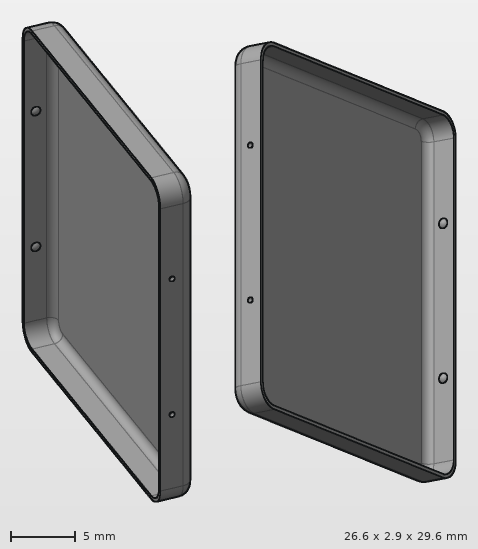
import cadquery as cq
import math

width = 26.6
depth = 2.9
height = 29.6

wall = 0.3
corner_radius = 1.8
rim_radius = 1.0

dimple_spacing = 12.5
dimple_from_opening = 1.0
recess_radius = 0.22
bump_radius = 0.5

open_y = -depth / 2
closed_y = depth / 2


def rounded_block(inset):
    """Block with rounded corners and a rounded closed-side edge, inset from the outer skin."""
    block = (
        cq.Workplane("XZ", origin=(0, closed_y - inset, 0))
        .rect(width - 2 * inset, height - 2 * inset)
        .extrude(depth - inset)
    )
    block = block.edges("|Y").fillet(corner_radius - inset)
    return block.faces(">Y").edges().fillet(rim_radius - inset)


def half_ball(side, z, radius):
    """Half ball with its flat face on the outer side wall and its dome pointing into the tray."""
    diagonal = radius * math.sqrt(0.5)
    return (
        cq.Workplane("XY", origin=(side * width / 2, open_y + dimple_from_opening, z))
        .lineTo(0, radius)
        .threePointArc((-side * diagonal, diagonal), (-side * radius, 0))
        .close()
        .revolve(360, (0, 0), (1, 0))
    )


def add_dimple(body, side, z):
    """Inward bump on one side wall, with a matching recess in its outer face."""
    return body.union(half_ball(side, z, bump_radius)).cut(half_ball(side, z, recess_radius))


result = rounded_block(0).cut(rounded_block(wall))
for side in (-1, 1):
    for z in (-dimple_spacing / 2, dimple_spacing / 2):
        result = add_dimple(result, side, z)